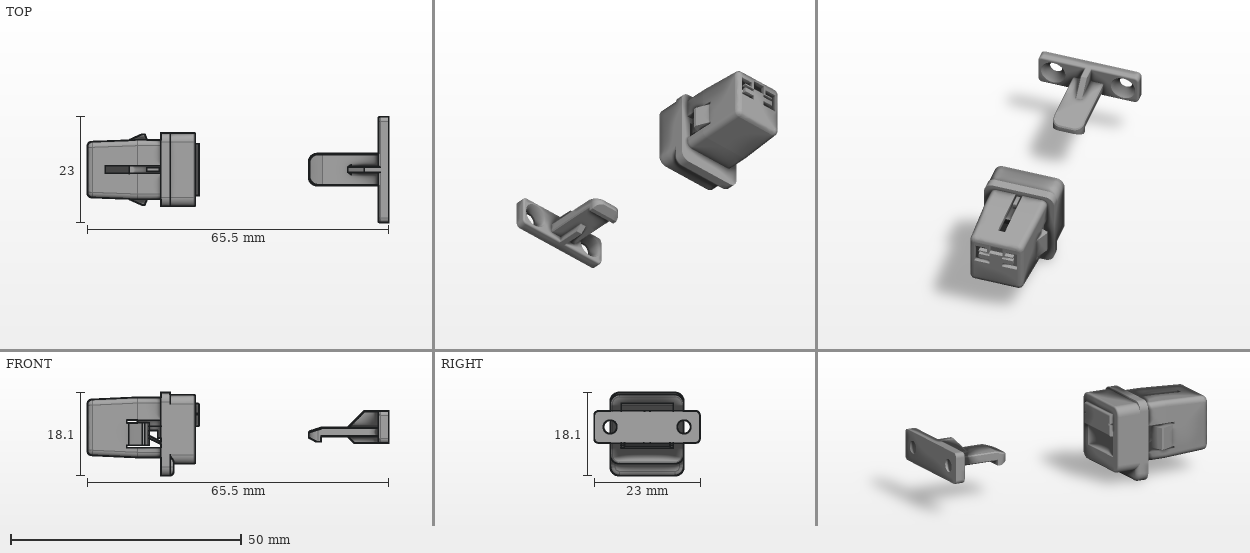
import cadquery as cq


HOUSING_LENGTH = 23.5
FLANGE_X = 16.0
FLANGE_THICKNESS = 2.0
FLANGE_HEIGHT = 18.1
LIP_THICKNESS = 2.8
LIP_HEIGHT = 4.6
LIP_FILLET = 1.0
BODY_WIDTH = 16.0
BODY_BOTTOM = 2.6
BODY_TOP = 17.6
BODY_CORNER = 2.0
BODY_END_FILLET = 0.4

NOSE_TAPER_LENGTH = 10.9
NOSE_TIP_SIZE = 12.1
NOSE_WIDTH = 12.9
NOSE_HEIGHT = 13.1
NOSE_CENTER_Z = 10.5
NOSE_CORNER = 1.2
NOSE_TIP_FILLET = 1.1

FRONT_WALL = 1.0
CAVITY_BOTTOM = 6.0
CAVITY_TOP = 15.7
CAVITY_NOSE_WIDTH = 10.0
CAVITY_BODY_WIDTH = 11.3

TOP_SLOT_X = 3.9
TOP_SLOT_WIDTH = 1.6
SIDE_WINDOW_X = 8.6
SIDE_WINDOW_BOTTOM = 6.1
SIDE_WINDOW_TOP = 12.1
CENTER_WINDOW_WIDTH = 3.0
CENTER_WINDOW_BOTTOM = 13.2
FRONT_OPENING_TOP = 15.3
C_SLOT_OUTER_Y = 4.9
C_SLOT_INNER_Y = 1.4
C_SLOT_BOTTOM = 10.2
C_SLOT_TOP = 13.1
C_TONGUE_OUTER_Y = 3.9
C_TONGUE_BOTTOM = 11.3
C_TONGUE_TOP = 12.4
UPPER_ARM_INNER_Y = 2.0
UPPER_ARM_BOTTOM = 13.4
UPPER_ARM_TOP = 14.55

ARM_BOTTOM = 6.6
ARM_TOP = 11.5
BARB_START_X = 9.0
BARB_PEAK_START_X = 11.9
BARB_PEAK_END_X = 12.5
BARB_BASE_X = 13.0
ARM_END_X = 13.5
BARB_PEAK_Y = 7.7

INSERT_RAMP_TOP_X = 9.1
INSERT_RAMP_BOTTOM_X = 10.9
INSERT_RAMP_BOTTOM_Z = 12.65
INSERT_END_X = 24.3
INSERT_BOTTOM = 10.7
INSERT_END_FILLET = 0.4
KEEL_BOTTOM = 9.8
KEEL_WIDTH = 9.8
HOOK_X = 15.3
HOOK_BOTTOM = 8.2
LEAF_TIP_X = 17.0
LEAF_TIP_Z = 6.4
LEAF_THICKNESS = 0.5
HEAD_GROOVE_BOTTOM = 13.2
HEAD_GROOVE_TOP = 13.6
HEAD_GROOVE_DEPTH = 0.5
TAB_X = 12.9
TAB_END_X = 15.6
TAB_WIDTH = 0.8
TAB_TOP = 16.9

OVERALL_LENGTH = 65.5
PLATE_THICKNESS = 2.3
PLATE_WIDTH = 23.0
PLATE_HEIGHT = 7.0
PLATE_CENTER_Z = 10.6
PLATE_CORNER = 1.0
PLATE_EDGE_FILLET = 0.4
SCREW_Y = 8.0
SCREW_DIAMETER = 2.9
COUNTERSINK_DIAMETER = 5.6
COUNTERSINK_DEPTH = 1.8
STRIKER_TIP_X = 48.05
STRIKER_WIDTH = 7.0
STRIKER_TOP = 10.55
STRIKER_BOTTOM = 8.45
STRIKER_EDGE_CHAMFER = 0.25
TIP_SLOPE_END_X = 51.0
TIP_TOP = 9.6
TIP_BOTTOM = 8.3
TIP_CORNER = 2.0
HOOK_HEEL_X = 50.8
HOOK_TOE_X = 49.8
STRIKER_HOOK_BOTTOM = 7.35
RIB_WIDTH = 1.4
RIB_FOOT_X = 56.6
RIB_FILLET = 0.4
RIB_CHAMFER = 0.15

plate_x = OVERALL_LENGTH - PLATE_THICKNESS
plate_bottom = PLATE_CENTER_Z - PLATE_HEIGHT / 2
plate_top = PLATE_CENTER_Z + PLATE_HEIGHT / 2
SIDES = (-1, 1)
TOLERANCE = 0.05


def block(x_range, y_range, z_range):
    """Box between two limits on each axis."""
    (x0, x1), (y0, y1), (z0, z1) = x_range, sorted(y_range), z_range
    return cq.Workplane("XY").box(x1 - x0, y1 - y0, z1 - z0, centered=False).translate((x0, y0, z0))


def centered_block(x_range, width, z_range):
    """Box that is symmetric about Y = 0."""
    return block(x_range, (-width / 2, width / 2), z_range)


def side_extrusion(points, width):
    """X-Z outline extruded symmetrically about Y = 0."""
    return cq.Workplane("XZ").polyline(points).close().extrude(width / 2, both=True)


def nose_section(x, width, height):
    """Rounded rectangle across the nose at position x."""
    return (
        cq.Sketch().rect(width, height).vertices().fillet(NOSE_CORNER)
        .moved(cq.Location(cq.Vector(0, NOSE_CENTER_Z, x)))
    )


def nose():
    taper = (
        cq.Workplane("YZ")
        .placeSketch(
            nose_section(0, NOSE_TIP_SIZE, NOSE_TIP_SIZE),
            nose_section(NOSE_TAPER_LENGTH, NOSE_WIDTH, NOSE_HEIGHT),
        )
        .loft(ruled=True)
        .faces("<X").edges().fillet(NOSE_TIP_FILLET)
    )
    straight = (
        cq.Workplane("YZ")
        .placeSketch(nose_section(NOSE_TAPER_LENGTH, NOSE_WIDTH, NOSE_HEIGHT))
        .extrude(FLANGE_X - NOSE_TAPER_LENGTH)
    )
    return taper.union(straight)


def flange_and_body():
    flange = centered_block(
        (FLANGE_X, FLANGE_X + FLANGE_THICKNESS), BODY_WIDTH, (0, FLANGE_HEIGHT)
    ).edges("|X").fillet(BODY_CORNER)
    lip = (
        centered_block((FLANGE_X, FLANGE_X + LIP_THICKNESS), BODY_WIDTH, (0, LIP_HEIGHT))
        .edges("|X and <Z").fillet(BODY_CORNER)
        .faces("<Z").edges(">X").fillet(LIP_FILLET)
    )
    body = (
        centered_block((FLANGE_X, HOUSING_LENGTH), BODY_WIDTH, (BODY_BOTTOM, BODY_TOP))
        .edges("|X").fillet(BODY_CORNER)
        .faces(">X").edges().fillet(BODY_END_FILLET)
    )
    return flange.union(lip).union(body)


def cavity():
    cavity_z = (CAVITY_BOTTOM, CAVITY_TOP)
    nose_part = centered_block((FRONT_WALL, FLANGE_X), CAVITY_NOSE_WIDTH, cavity_z)
    body_part = centered_block((FLANGE_X, HOUSING_LENGTH), CAVITY_BODY_WIDTH, cavity_z)
    return nose_part.union(body_part)


def front_openings():
    """Centre window and the two branched slots through the front wall."""
    wall = (0, FRONT_WALL)
    cut = centered_block(wall, CENTER_WINDOW_WIDTH, (CENTER_WINDOW_BOTTOM, FRONT_OPENING_TOP))
    for side in SIDES:
        c_slot = block(
            wall, (side * C_SLOT_INNER_Y, side * C_SLOT_OUTER_Y), (C_SLOT_BOTTOM, C_SLOT_TOP)
        )
        tongue = block(
            wall, (side * C_SLOT_INNER_Y, side * C_TONGUE_OUTER_Y), (C_TONGUE_BOTTOM, C_TONGUE_TOP)
        )
        upper_arm = block(
            wall, (side * UPPER_ARM_INNER_Y, side * C_SLOT_OUTER_Y), (UPPER_ARM_BOTTOM, UPPER_ARM_TOP)
        )
        outer_column = block(
            wall, (side * C_TONGUE_OUTER_Y, side * C_SLOT_OUTER_Y), (C_SLOT_BOTTOM, UPPER_ARM_TOP)
        )
        cut = cut.union(c_slot.cut(tongue)).union(upper_arm).union(outer_column)
    return cut


def side_windows():
    """Windows through both side walls that leave the snap arms standing."""
    opening = centered_block(
        (SIDE_WINDOW_X, FLANGE_X), BODY_WIDTH, (SIDE_WINDOW_BOTTOM, SIDE_WINDOW_TOP)
    )
    arms = centered_block((SIDE_WINDOW_X, BARB_BASE_X), BODY_WIDTH, (ARM_BOTTOM, ARM_TOP))
    return opening.cut(arms)


def snap_barb(side):
    """Wedge on the outside of a snap arm, with the bevelled end of the arm."""
    inner_y = CAVITY_NOSE_WIDTH / 2
    tip_y = NOSE_TIP_SIZE / 2
    outer_y = NOSE_WIDTH / 2
    wall_y = tip_y + (outer_y - tip_y) * BARB_START_X / NOSE_TAPER_LENGTH
    outline = [
        (BARB_START_X, inner_y),
        (BARB_START_X, wall_y),
        (BARB_PEAK_START_X, BARB_PEAK_Y),
        (BARB_PEAK_END_X, BARB_PEAK_Y),
        (BARB_BASE_X, outer_y),
        (ARM_END_X, inner_y),
    ]
    points = [(x, side * y) for x, y in outline]
    return (
        cq.Workplane("XY").workplane(offset=ARM_BOTTOM)
        .polyline(points).close().extrude(ARM_TOP - ARM_BOTTOM)
    )


def make_housing():
    top_slot = centered_block((TOP_SLOT_X, FLANGE_X), TOP_SLOT_WIDTH, (CAVITY_TOP, FLANGE_HEIGHT))
    shell = (
        nose().union(flange_and_body())
        .cut(cavity()).cut(top_slot).cut(side_windows()).cut(front_openings())
    )
    for side in SIDES:
        shell = shell.union(snap_barb(side))
    return shell


def make_latch_insert():
    """Sliding insert: ramped nose, protruding head, hooked keel, spring leaf and guide tab."""
    nose_block = centered_block(
        (INSERT_RAMP_BOTTOM_X, FLANGE_X), CAVITY_NOSE_WIDTH, (INSERT_BOTTOM, CAVITY_TOP)
    )
    ramp = side_extrusion(
        [
            (INSERT_RAMP_TOP_X, CAVITY_TOP),
            (INSERT_RAMP_BOTTOM_X, INSERT_RAMP_BOTTOM_Z),
            (INSERT_RAMP_BOTTOM_X, CAVITY_TOP),
        ],
        2 * C_TONGUE_OUTER_Y,
    )
    head = (
        centered_block((FLANGE_X, INSERT_END_X), CAVITY_BODY_WIDTH, (INSERT_BOTTOM, CAVITY_TOP))
        .faces(">X").edges("|Y").fillet(INSERT_END_FILLET)
    )
    keel = side_extrusion(
        [
            (INSERT_RAMP_BOTTOM_X, INSERT_BOTTOM),
            (INSERT_RAMP_BOTTOM_X, KEEL_BOTTOM),
            (HOOK_X, KEEL_BOTTOM),
            (HOOK_X, HOOK_BOTTOM),
            (FLANGE_X, HOOK_BOTTOM),
            (FLANGE_X, INSERT_BOTTOM),
        ],
        KEEL_WIDTH,
    )
    leaf = side_extrusion(
        [
            (INSERT_RAMP_BOTTOM_X, KEEL_BOTTOM),
            (INSERT_RAMP_BOTTOM_X, KEEL_BOTTOM - LEAF_THICKNESS),
            (LEAF_TIP_X, LEAF_TIP_Z),
            (LEAF_TIP_X, LEAF_TIP_Z + LEAF_THICKNESS),
            (INSERT_RAMP_BOTTOM_X + LEAF_THICKNESS, KEEL_BOTTOM),
        ],
        KEEL_WIDTH,
    )
    tab = centered_block((TAB_X, TAB_END_X), TAB_WIDTH, (CAVITY_TOP, TAB_TOP))
    insert = nose_block.union(ramp).union(head).union(keel).union(leaf).union(tab)
    for side in SIDES:
        outer_y = side * CAVITY_BODY_WIDTH / 2
        groove = block(
            (HOUSING_LENGTH, INSERT_END_X),
            (outer_y - side * HEAD_GROOVE_DEPTH, outer_y),
            (HEAD_GROOVE_BOTTOM, HEAD_GROOVE_TOP),
        )
        insert = insert.cut(groove)
    return insert


def striker_plate():
    return (
        centered_block((plate_x, OVERALL_LENGTH), PLATE_WIDTH, (plate_bottom, plate_top))
        .edges("|X").fillet(PLATE_CORNER)
        .faces("<X").edges().fillet(PLATE_EDGE_FILLET)
    )


def screw_holes():
    """Countersunk holes that open toward the housing."""
    radius = SCREW_DIAMETER / 2
    sink_radius = COUNTERSINK_DIAMETER / 2
    profile = [
        (plate_x, 0),
        (plate_x, sink_radius),
        (plate_x + COUNTERSINK_DEPTH, radius),
        (OVERALL_LENGTH, radius),
        (OVERALL_LENGTH, 0),
    ]
    hole = cq.Workplane("XY").polyline(profile).close().revolve(360, (0, 0), (1, 0))
    places = [hole.translate((0, side * SCREW_Y, PLATE_CENTER_Z)) for side in SIDES]
    return places[0].union(places[1])


def striker_arm():
    """Flat arm with a hooked tip and rounded front corners."""
    arm = side_extrusion(
        [
            (STRIKER_TIP_X, TIP_BOTTOM),
            (STRIKER_TIP_X, TIP_TOP),
            (TIP_SLOPE_END_X, STRIKER_TOP),
            (plate_x, STRIKER_TOP),
            (plate_x, STRIKER_BOTTOM),
            (HOOK_HEEL_X, STRIKER_BOTTOM),
            (HOOK_HEEL_X, STRIKER_HOOK_BOTTOM),
            (HOOK_TOE_X, STRIKER_HOOK_BOTTOM),
        ],
        STRIKER_WIDTH,
    )
    plan = (
        centered_block((STRIKER_TIP_X, plate_x), STRIKER_WIDTH, (plate_bottom, plate_top))
        .edges("|Z and <X").fillet(TIP_CORNER)
    )
    arm = arm.intersect(plan)
    top_edges = cq.selectors.BoxSelector(
        (STRIKER_TIP_X - TOLERANCE, -STRIKER_WIDTH, TIP_TOP - TOLERANCE),
        (plate_x - TOLERANCE, STRIKER_WIDTH, STRIKER_TOP + TOLERANCE),
    )
    slope_line = cq.selectors.BoxSelector(
        (TIP_SLOPE_END_X - TOLERANCE, -TOLERANCE, TIP_TOP),
        (TIP_SLOPE_END_X + TOLERANCE, TOLERANCE, STRIKER_TOP + TOLERANCE),
    )
    bottom_edges = cq.selectors.BoxSelector(
        (HOOK_HEEL_X + TOLERANCE, -STRIKER_WIDTH, STRIKER_BOTTOM - TOLERANCE),
        (plate_x - TOLERANCE, STRIKER_WIDTH, STRIKER_BOTTOM + TOLERANCE),
    )
    return (
        arm.edges(top_edges - slope_line).chamfer(STRIKER_EDGE_CHAMFER)
        .edges(bottom_edges).chamfer(STRIKER_EDGE_CHAMFER)
    )


def rib():
    """Upright gusset above and below the arm, with 45 degree front edges."""
    center_z = (STRIKER_TOP + STRIKER_BOTTOM) / 2
    rib_end = plate_x + PLATE_EDGE_FILLET
    gusset = side_extrusion(
        [
            (RIB_FOOT_X, center_z),
            (RIB_FOOT_X, STRIKER_TOP),
            (RIB_FOOT_X + plate_top - STRIKER_TOP, plate_top),
            (rib_end, plate_top),
            (rib_end, plate_bottom),
            (RIB_FOOT_X + STRIKER_BOTTOM - plate_bottom, plate_bottom),
            (RIB_FOOT_X, STRIKER_BOTTOM),
        ],
        RIB_WIDTH,
    )
    rim = cq.selectors.BoxSelector(
        (RIB_FOOT_X + TOLERANCE, -RIB_WIDTH, STRIKER_TOP + TOLERANCE),
        (rib_end - TOLERANCE, RIB_WIDTH, plate_top + TOLERANCE),
    )
    corner_line = cq.selectors.BoxSelector(
        (RIB_FOOT_X, -TOLERANCE, plate_top - TOLERANCE),
        (rib_end, TOLERANCE, plate_top + TOLERANCE),
    )
    return gusset.edges(rim - corner_line).chamfer(RIB_CHAMFER)


def make_striker():
    striker = striker_plate().cut(screw_holes()).union(striker_arm()).union(rib())
    rib_base = cq.selectors.BoxSelector(
        (RIB_FOOT_X + TOLERANCE, -RIB_WIDTH, STRIKER_TOP - TOLERANCE),
        (plate_x - TOLERANCE, RIB_WIDTH, STRIKER_TOP + TOLERANCE),
    )
    return striker.edges(rib_base).edges("|X").fillet(RIB_FILLET)


housing = make_housing()
latch_insert = make_latch_insert()
striker = make_striker()

result = cq.Compound.makeCompound([
    *housing.solids().vals(),
    *latch_insert.solids().vals(),
    *striker.solids().vals(),
])